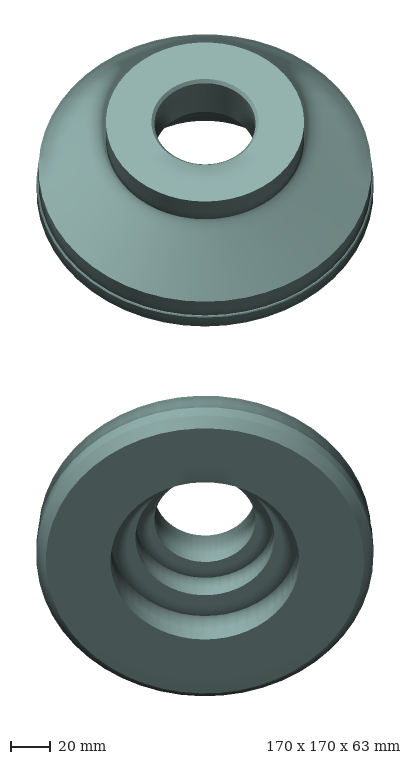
import cadquery as cq

total_height = 63.0
ring_radius = 85.0

ring_height = 12.5
lip_chamfer = 0.5
bevel_height = 4.6
bevel_width = 4.8

flange_radius = 84.0
neck_radius = 50.0
neck_height = 15.0
cone_height = 24.0
cone_base_z = total_height - neck_height - cone_height
neck_base_z = total_height - neck_height

bore_radius = 25.5
bore_chamfer = 1.5
bore_depth = 25.7
counterbore_radius = 35.0
counterbore_end_depth = 41.7
cavity_radius = 47.6
counterbore_top_z = total_height - bore_depth
cavity_top_z = total_height - counterbore_end_depth


def revolve_profile(points):
    """Turn a closed (radius, height) outline about the Z axis."""
    return cq.Workplane("XZ").polyline(points).close().revolve(360, (0, 0, 0), (0, 1, 0))


def make_housing():
    """Neck, cone and flange around the stepped opening."""
    return revolve_profile([
        (cavity_radius, ring_height),
        (flange_radius, ring_height),
        (flange_radius, cone_base_z),
        (neck_radius, neck_base_z),
        (neck_radius, total_height),
        (bore_radius + bore_chamfer, total_height),
        (bore_radius, total_height - bore_chamfer),
        (bore_radius, counterbore_top_z),
        (counterbore_radius, counterbore_top_z),
        (counterbore_radius, cavity_top_z),
        (cavity_radius, cavity_top_z),
    ])


def make_base_ring():
    """Ring under the flange, with a chamfered lip and a bevelled foot."""
    return revolve_profile([
        (cavity_radius, 0),
        (ring_radius - bevel_width, 0),
        (ring_radius, bevel_height),
        (ring_radius, ring_height - lip_chamfer),
        (ring_radius - lip_chamfer, ring_height),
        (cavity_radius, ring_height),
    ])


housing = make_housing()
base_ring = make_base_ring()

result = cq.Compound.makeCompound([housing.val(), base_ring.val()])